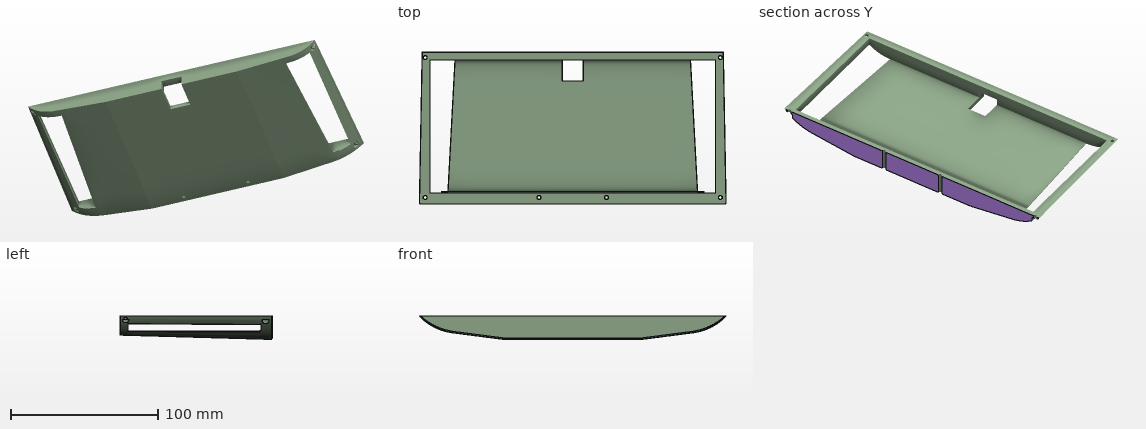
import cadquery as cq

length = 208.5
width = 103.5
front_depth = 16.0
back_depth = 13.1
back_half_length = 102.5

keel_half = 47.0
bilge_x = 82.4
front_bilge_depth = 11.5
back_bilge_depth = 10.5
front_bevel_run = 0.6
front_bevel_drop = 1.0

pocket_half = 97.0
front_rim = 7.7
back_rim = 5.5
floor_depth = 10.5
back_wall_y = width - back_rim
arc_front_depth = 6.0
arc_back_depth = 5.5

front_lip_width = 0.8
lip_height = 0.6
floor_front_y = front_rim + front_lip_width

floor_front_half = 84.9
floor_back_half = 80.0

notch_width = 14.2
notch_y = 83.8
notch_top_depth = 5.6

hole_diameter = 2.5
corner_hole_x = 100.3
front_hole_y = 4.5
back_hole_y = width - 3.8
middle_hole_x = 23.0
counterbore_diameter = 4.5
counterbore_roof_depth = 2.5


def hull_section(y, half, depth, bilge_depth, arc_depth):
    """Closed XZ hull outline at the given y."""
    outline = (
        cq.Workplane("XZ", origin=(0, y, 0))
        .moveTo(-half, 0)
        .lineTo(half, 0)
        .threePointArc((pocket_half, -arc_depth), (bilge_x, -bilge_depth))
        .lineTo(keel_half, -depth)
        .lineTo(-keel_half, -depth)
        .lineTo(-bilge_x, -bilge_depth)
        .threePointArc((-pocket_half, -arc_depth), (-half, 0))
        .close()
    )
    return outline.val()


def ruled_body(first, second):
    return cq.Workplane(cq.Solid.makeLoft([first, second], True))


def hull():
    """Tapered hull with a narrow bevel around the front face."""
    face = hull_section(
        0,
        length / 2 - front_bevel_run,
        front_depth - front_bevel_drop,
        front_bilge_depth - front_bevel_drop,
        arc_front_depth - front_bevel_drop,
    )
    shoulder = hull_section(front_bevel_run, length / 2, front_depth, front_bilge_depth, arc_front_depth)
    back = hull_section(width, back_half_length, back_depth, back_bilge_depth, arc_back_depth)
    return ruled_body(face, shoulder).union(ruled_body(shoulder, back))


def block(x_half, y_min, y_max, z_min, z_max):
    return cq.Workplane("XY").box(
        2 * x_half, y_max - y_min, z_max - z_min, centered=(True, False, False)
    ).translate((0, y_min, z_min))


def pocket():
    """Tray cavity, which breaks out through the bilges on both sides."""
    cavity = block(pocket_half, front_rim, back_wall_y, -floor_depth, 0)
    lip_top = lip_height - floor_depth
    front_lip = block(pocket_half, front_rim, floor_front_y, -floor_depth, lip_top)
    return cavity.cut(front_lip)


def side_trim():
    """Material beside the tapered floor, below floor level on both sides."""
    floor_plan = (
        cq.Workplane("XY", origin=(0, 0, -front_depth))
        .polyline([
            (-floor_front_half, floor_front_y),
            (floor_front_half, floor_front_y),
            (floor_back_half, back_wall_y),
            (-floor_back_half, back_wall_y),
        ])
        .close()
        .extrude(front_depth)
    )
    return block(pocket_half, floor_front_y, back_wall_y, -front_depth, -floor_depth).cut(floor_plan)


def vertical_holes(points, diameter, top_depth):
    return (
        cq.Workplane("XY", origin=(0, 0, -top_depth))
        .pushPoints(points)
        .circle(diameter / 2)
        .extrude(-front_depth)
    )


corners = [(side * corner_hole_x, y) for side in (-1, 1) for y in (front_hole_y, back_hole_y)]
middles = [(side * middle_hole_x, front_hole_y) for side in (-1, 1)]

result = (
    hull()
    .cut(pocket())
    .cut(side_trim())
    .cut(block(notch_width / 2, notch_y, width, -front_depth, -notch_top_depth))
    .cut(vertical_holes(corners + middles, hole_diameter, 0))
    .cut(vertical_holes(corners, counterbore_diameter, counterbore_roof_depth))
)